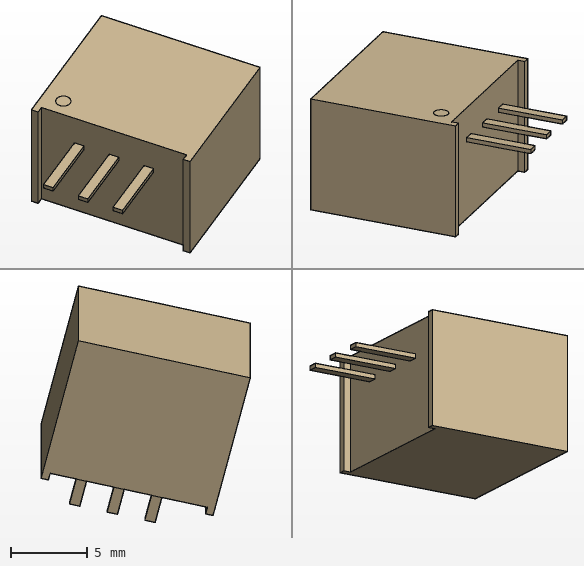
import cadquery as cq

width = 11.6
height = 8.0
block_depth = 9.9
wall_thickness = 0.5
wall_length = 0.5

overall_depth = 14.5
pin_count = 3
pin_pitch = 2.54
pin_width = 0.7
pin_thickness = 0.3
pin_center_z = 5.7
pin_length = overall_depth - block_depth

marker_diameter = 1.0
marker_depth = 0.1
marker_x = -4.3
marker_y = 1.2


def make_block():
    return cq.Workplane("XY").box(width, block_depth, height, centered=(True, False, False))


def make_side_wall(side):
    """Thin full-height wall standing forward of the block; side is -1 or +1."""
    center_x = side * (width - wall_thickness) / 2
    return (
        cq.Workplane("XY")
        .box(wall_thickness, wall_length, height, centered=(True, False, False))
        .translate((center_x, -wall_length, 0))
    )


def make_pin(index):
    center_x = (index - (pin_count - 1) / 2) * pin_pitch
    return (
        cq.Workplane("XY")
        .box(pin_width, pin_length, pin_thickness, centered=(True, False, True))
        .translate((center_x, -pin_length, pin_center_z))
    )


def make_marker():
    return (
        cq.Workplane("XY", origin=(marker_x, marker_y, height - marker_depth))
        .circle(marker_diameter / 2)
        .extrude(marker_depth)
    )


marker = make_marker()

housing = make_block()
for side in (-1, 1):
    housing = housing.union(make_side_wall(side))
for index in range(pin_count):
    housing = housing.union(make_pin(index))
housing = housing.cut(marker)

result = cq.Compound.makeCompound([housing.val(), marker.val()])